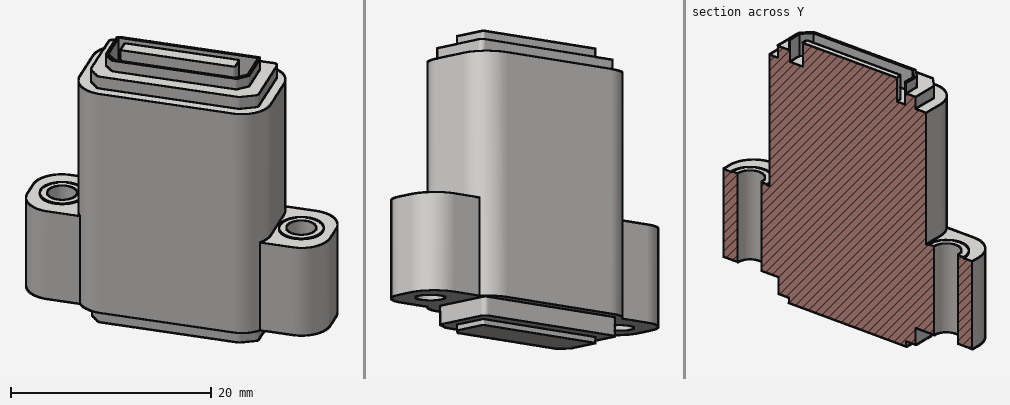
import cadquery as cq

BODY_X, BODY_Y = 20.0, 10.5
BODY_BOTTOM, BODY_TOP = 2.5, 27.4
CORNER_RADIUS = 3.0

EARS_X, EARS_Y = 31.7, 8.0
EARS_HEIGHT = 10.0
EARS_Y_CENTER = -0.05
HOLE_SPACING = 25.0
HOLE_DIAMETER = 3.0
BUSHING_DIAMETER = 4.5
BUSHING_PROUD = 0.1

COLLAR_Y = 7.85
TOP_COLLAR_FRONT = -4.15
BOTTOM_COLLAR_FRONT = -3.8
COLLAR_LEFT_CHAMFER_X, COLLAR_LEFT_CHAMFER_Y = 1.1, 1.2
COLLAR_RIGHT_CHAMFER_X, COLLAR_RIGHT_CHAMFER_Y = 1.7, 0.95
COLLAR_CORNER_RADIUS = 0.5
COLLAR_LEFT = -8.65
TOP_COLLAR_RIGHT = 8.95
BOTTOM_COLLAR_RIGHT = 8.85
TOP_COLLAR_TOP = 28.75
BOTTOM_COLLAR_BOTTOM = 0.6

SHELL_X, SHELL_Y = 15.0, 5.0
SHELL_X_CENTER, SHELL_Y_CENTER = 0.05, -0.2
SHELL_CHAMFER = 1.0
SHELL_CORNER_RADIUS = 0.25
SHELL_WALL = 0.2
SHELL_TOP = 29.95
CAVITY_DEPTH = 2.5

TONGUE_X, TONGUE_Y = 12.0, 1.5
TONGUE_X_CENTER, TONGUE_Y_CENTER = -0.25, 0.1
TONGUE_TOP = 30.13
TONGUE_CORNER_RADIUS = 0.2


def prism(outline, bottom, top):
    """Extrude a closed list of XY points between two heights."""
    return cq.Workplane("XY", origin=(0, 0, bottom)).polyline(outline).close().extrude(top - bottom)


def block(size_x, size_y, bottom, top, center=(0, 0)):
    """Upright rectangular block between two heights."""
    base = cq.Workplane("XY", origin=(center[0], center[1], bottom))
    return base.rect(size_x, size_y).extrude(top - bottom)


def ear_cylinders(diameter, bottom, top):
    """One upright cylinder on each ear's hole axis."""
    base = cq.Workplane("XY", origin=(0, EARS_Y_CENTER, bottom))
    hole_axes = [(-HOLE_SPACING / 2, 0), (HOLE_SPACING / 2, 0)]
    return base.pushPoints(hole_axes).circle(diameter / 2).extrude(top - bottom)


def collar(right, front, bottom, top):
    """Collar with unequal chamfers on its front corners and every corner rounded."""
    back = front + COLLAR_Y
    outline = [
        (COLLAR_LEFT + COLLAR_LEFT_CHAMFER_X, front),
        (right - COLLAR_RIGHT_CHAMFER_X, front),
        (right, front + COLLAR_RIGHT_CHAMFER_Y),
        (right, back),
        (COLLAR_LEFT, back),
        (COLLAR_LEFT, front + COLLAR_LEFT_CHAMFER_Y),
    ]
    return prism(outline, bottom, top).edges("|Z").fillet(COLLAR_CORNER_RADIUS)


def shell_prism(inset, bottom, top):
    """Shell outline, set in from its outer face, with the two front corners chamfered."""
    solid = block(
        SHELL_X - 2 * inset, SHELL_Y - 2 * inset, bottom, top, (SHELL_X_CENTER, SHELL_Y_CENTER)
    )
    return solid.faces("<Y").edges("|Z").chamfer(SHELL_CHAMFER)


body = block(BODY_X, BODY_Y, BODY_BOTTOM, BODY_TOP).edges("|Z").fillet(CORNER_RADIUS)

ears_top = BODY_BOTTOM + EARS_HEIGHT
ears = block(EARS_X, EARS_Y, BODY_BOTTOM, ears_top, (0, EARS_Y_CENTER))
ears = ears.edges("|Z").fillet(CORNER_RADIUS)
bushing_top = ears_top + BUSHING_PROUD
bushings = ear_cylinders(BUSHING_DIAMETER, BODY_BOTTOM, bushing_top)
holes = ear_cylinders(HOLE_DIAMETER, BODY_BOTTOM, bushing_top)

top_collar = collar(TOP_COLLAR_RIGHT, TOP_COLLAR_FRONT, BODY_TOP, TOP_COLLAR_TOP)
bottom_collar = collar(BOTTOM_COLLAR_RIGHT, BOTTOM_COLLAR_FRONT, BOTTOM_COLLAR_BOTTOM, BODY_BOTTOM)

shell = shell_prism(0, 0, SHELL_TOP).edges("|Z").fillet(SHELL_CORNER_RADIUS)
cavity_floor = SHELL_TOP - CAVITY_DEPTH
cavity = shell_prism(SHELL_WALL, cavity_floor, SHELL_TOP)
tongue = block(
    TONGUE_X, TONGUE_Y, cavity_floor, TONGUE_TOP, (TONGUE_X_CENTER, TONGUE_Y_CENTER)
)
tongue = tongue.edges("|Z").fillet(TONGUE_CORNER_RADIUS)

housing = body.union(ears).union(bushings).cut(holes)
housing = housing.union(top_collar).union(bottom_collar).union(shell)
result = housing.cut(cavity).union(tongue)